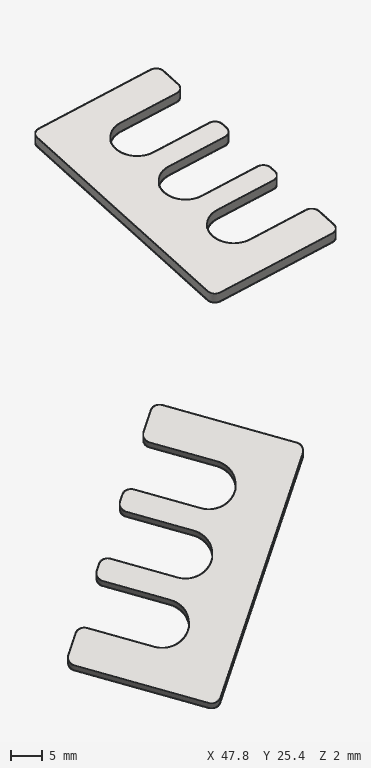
import cadquery as cq

length = 47.75
width = 25.4
thickness = 2.0
corner_radius = 1.5

slot_count = 3
slot_pitch = 12.7
slot_width = 8.6
slot_depth = 17.0

slot_radius = slot_width / 2
open_edge_y = width / 2
slot_centre_y = open_edge_y - slot_depth + slot_radius


def slot_cutter(centre_x):
    """Solid that cuts one slot from its round bottom out to the open edge."""
    return (
        cq.Workplane("XY")
        .moveTo(centre_x - slot_radius, open_edge_y)
        .lineTo(centre_x - slot_radius, slot_centre_y)
        .threePointArc(
            (centre_x, slot_centre_y - slot_radius),
            (centre_x + slot_radius, slot_centre_y),
        )
        .lineTo(centre_x + slot_radius, open_edge_y)
        .close()
        .extrude(thickness)
    )


plate = cq.Workplane("XY").box(length, width, thickness, centered=(True, True, False))

for index in range(slot_count):
    offset = index - (slot_count - 1) / 2
    plate = plate.cut(slot_cutter(offset * slot_pitch))

outer_corners = plate.edges("|Z and (<Y or >Y)")
result = outer_corners.fillet(corner_radius)